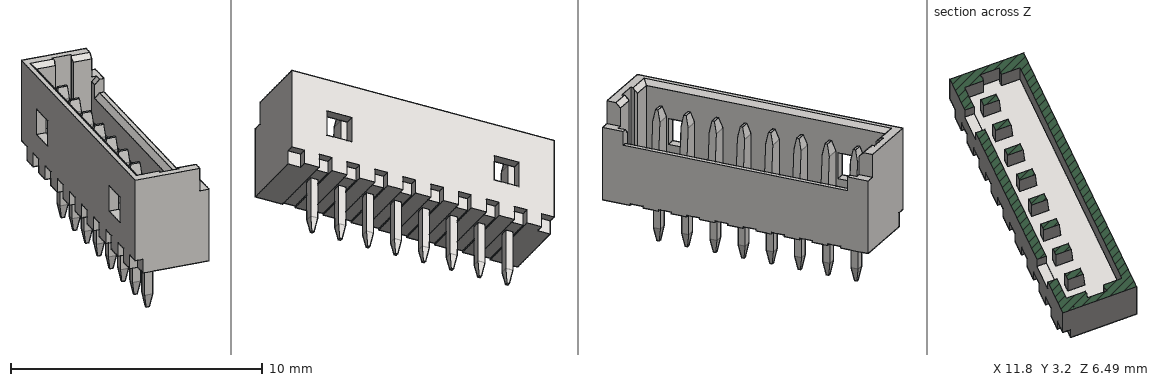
import cadquery as cq


length = 11.75
depth = 3.2
height = 4.18
floor_z = 1.26
end_wall = 0.6
front_wall = 0.41
back_wall = 0.41
cavity_back = depth - back_wall
cavity_length = length - 2 * end_wall
mouth_bevel = 0.2

post_length = 0.92
post_top = height - 1.0
rail_top = height - 1.6
step_depth = 0.4
rim_bevel = 0.21

groove_front = 1.2
groove_back = 2.02
groove_wall = 0.29
throat_wall = 0.47
throat_inset = 0.05
opening_inset = 0.02

pin_count = 8
row_margin = 1.5
pin_width = 0.32
point_width = 0.1
blade_front = 0.78
blade_back = 1.52
blade_tip_front = 0.95
blade_tip_back = 1.34
blade_top = height - 0.69
blade_point_height = 0.5
tail_y = 1.15
tail_depth = 0.35
tail_bottom = -2.31
tail_point_height = 0.6
tail_point_depth = 0.14

window_width = 1.12
window_bottom = 1.6
window_top = 2.73

notch_width = 0.56
notch_depth = 0.34
notch_height = 0.61
channel_height = 0.07

row_end = length / 2 - row_margin
pin_pitch = 2 * row_end / (pin_count - 1)
pin_xs = [i * pin_pitch - row_end for i in range(pin_count)]


def block(x_min, x_max, y_min, y_max, z_min, z_max):
    """Box between the given limits."""
    size = (x_max - x_min, y_max - y_min, z_max - z_min)
    return cq.Workplane("XY").box(*size, centered=False).translate((x_min, y_min, z_min))


def centred_block(x, width, y_min, y_max, z_min, z_max):
    """Box of the given width centred on x."""
    return block(x - width / 2, x + width / 2, y_min, y_max, z_min, z_max)


def extrude_along_x(points, width):
    """Prism with a (y, z) outline, centred on x = 0."""
    return cq.Workplane("YZ").polyline(points).close().extrude(width / 2, both=True)


def mouth():
    """Flared upper part of the cavity, sloping on the front wall and both end walls."""
    bottom_z = height - mouth_bevel
    center_y = (front_wall + depth) / 2
    opening_depth = depth - front_wall
    return (
        cq.Workplane("XY", origin=(0, center_y, bottom_z))
        .rect(cavity_length, opening_depth)
        .workplane(offset=mouth_bevel)
        .rect(cavity_length + 2 * mouth_bevel, opening_depth + 2 * mouth_bevel)
        .loft(ruled=True)
    )


def back_wall_cut():
    """Lowers the back wall to the posts and the rail, and bevels their inner top edges."""
    inner = cavity_back
    step = block(-length / 2, length / 2, depth - step_depth, depth, post_top, height)
    rail_length = length - 2 * post_length
    gap = centred_block(0, rail_length, inner, depth, rail_top, height)

    def rim(top):
        return [(inner, top - rim_bevel), (inner + rim_bevel, top), (inner, top)]

    opening = centred_block(0, cavity_length, inner, depth, post_top, height)
    post_bevel = extrude_along_x(rim(post_top), cavity_length)
    rail_bevel = extrude_along_x(rim(rail_top), rail_length)
    return step.union(gap).union(opening).union(post_bevel).union(rail_bevel)


def key_groove(side):
    """Vertical groove in one end wall; side is -1 for left and 1 for right."""
    outer_x = side * (length / 2 - groove_wall)
    throat_x = side * (length / 2 - throat_wall)
    inner_x = side * cavity_length / 2
    outline = [
        (inner_x, groove_front + opening_inset),
        (throat_x, groove_front + throat_inset),
        (outer_x, groove_front),
        (outer_x, groove_back),
        (throat_x, groove_back - throat_inset),
        (inner_x, groove_back - opening_inset),
    ]
    return cq.Workplane("XY", origin=(0, 0, floor_z)).polyline(outline).close().extrude(height - floor_z)


def blade(x):
    """Upper part of a pin: pointed on its sides and front, with a back leaning steadily forward."""
    shoulder = blade_top - blade_point_height
    side_outline = [
        (blade_front, floor_z),
        (blade_front, shoulder),
        (blade_tip_front, blade_top),
        (blade_tip_back, blade_top),
        (blade_back, floor_z),
    ]
    front_outline = [
        (x - pin_width / 2, floor_z),
        (x - pin_width / 2, shoulder),
        (x - point_width / 2, blade_top),
        (x + point_width / 2, blade_top),
        (x + pin_width / 2, shoulder),
        (x + pin_width / 2, floor_z),
    ]
    side_prism = extrude_along_x(side_outline, pin_width).translate((x, 0, 0))
    front_prism = cq.Workplane("XZ").polyline(front_outline).close().extrude(-depth)
    return side_prism.intersect(front_prism)


def tail(x):
    """Lower part of a pin, a slim bar ending in a four-sided point."""
    shoulder = tail_bottom + tail_point_height
    half_depth = tail_depth / 2
    shank = centred_block(x, pin_width, tail_y - half_depth, tail_y + half_depth, shoulder, floor_z)
    point = (
        cq.Workplane("XY", origin=(x, tail_y, tail_bottom))
        .rect(point_width, tail_point_depth)
        .workplane(offset=tail_point_height)
        .rect(pin_width, tail_depth)
        .loft(ruled=True)
    )
    return shank.union(point)


housing = block(-length / 2, length / 2, 0, depth, 0, height)
housing = housing.cut(centred_block(0, cavity_length, front_wall, cavity_back, floor_z, height))
housing = housing.cut(mouth()).cut(back_wall_cut())

for side in (-1, 1):
    housing = housing.cut(key_groove(side))
    window_x = side * (row_end - pin_pitch / 2)
    housing = housing.cut(centred_block(window_x, window_width, 0, front_wall, window_bottom, window_top))
    corner_x = side * (length - notch_width) / 2
    housing = housing.cut(centred_block(corner_x, notch_width, 0, notch_depth, 0, notch_height))

for x in pin_xs:
    housing = housing.cut(centred_block(x, notch_width, 0, notch_depth, 0, notch_height))
    housing = housing.cut(centred_block(x, notch_width, 0, depth, 0, channel_height))

result = housing
for x in pin_xs:
    result = result.union(blade(x)).union(tail(x))